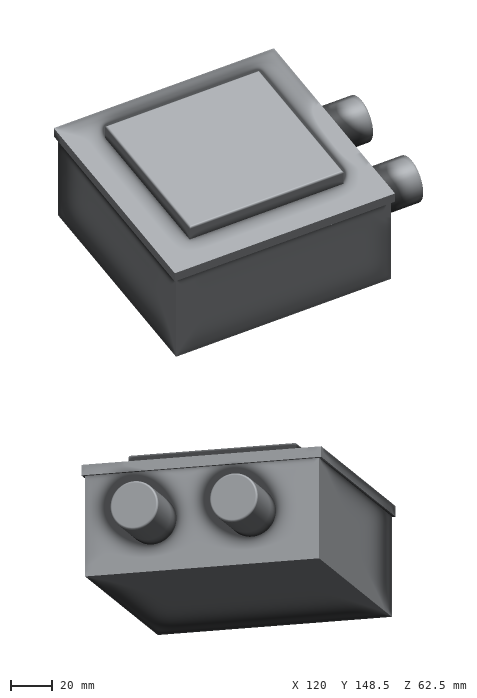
import cadquery as cq

plate_side = 120.0
overall_length = 148.5
overall_height = 62.5

body_side = 117.0
body_height = 49.6
plate_thickness = 5.2

pad_side = 83.9
pad_fillet = 1.0
pad_height = overall_height - body_height - plate_thickness

connector_diameter = 24.0
connector_spacing = 49.7
connector_axis_height = 25.2
connector_fillet = 1.0
connector_end_y = overall_length - plate_side / 2
connector_length = connector_end_y - body_side / 2


def square_block(side, height, base_height):
    """Square block centred on the Z axis, standing at base_height."""
    return (
        cq.Workplane("XY")
        .workplane(offset=base_height)
        .rect(side, side)
        .extrude(height)
    )


def connector(center_x):
    """Solid round stub from the +Y wall, with a rounded outer end."""
    stub = cq.Workplane("XZ").circle(connector_diameter / 2).extrude(-connector_length)
    stub = stub.faces(">Y").edges().fillet(connector_fillet)
    return stub.translate((center_x, body_side / 2, connector_axis_height))


body = square_block(body_side, body_height, 0)
plate = square_block(plate_side, plate_thickness, body_height)
pad = square_block(pad_side, pad_height, body_height + plate_thickness)
pad = pad.faces(">Z").edges().fillet(pad_fillet)

result = body.union(plate).union(pad)
for side_sign in (-1, 1):
    result = result.union(connector(side_sign * connector_spacing / 2))